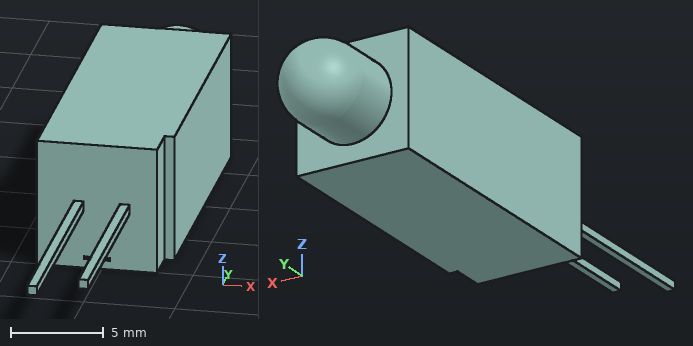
import cadquery as cq

overall_length = 35.6
housing_side = 7.15
housing_length = 17.48

step_depth = 0.55
step_length = 2.03

groove_width = 1.42
groove_height = 0.15
groove_depth = 0.1
groove_z = -3.0

lens_diameter = 5.0
lead_side = 0.55
lead_pitch = 2.53
long_lead_length = 12.7
short_lead_length = 11.25

lens_radius = lens_diameter / 2
lens_length = overall_length - housing_length - long_lead_length
lens_barrel_length = lens_length - lens_radius
half_side = housing_side / 2


def make_housing():
    """Block with its rear face at Y = 0 and a step along the rear +X edge."""
    outline = [
        (-half_side, 0),
        (half_side - step_depth, 0),
        (half_side - step_depth, step_length),
        (half_side, step_length),
        (half_side, housing_length),
        (-half_side, housing_length),
    ]
    return cq.Workplane("XY").polyline(outline).close().extrude(half_side, both=True)


def make_groove():
    """Thin bar that is cut into the rear face below the leads."""
    return (
        cq.Workplane("XZ")
        .center(-step_depth / 2, groove_z)
        .rect(groove_width, groove_height)
        .extrude(-groove_depth)
    )


def make_lens():
    """Round barrel with a hemispherical tip, revolved about the Y axis."""
    barrel_end = housing_length + lens_barrel_length
    tip = barrel_end + lens_radius
    arc_middle = cq.Vector(1, 1, 0).normalized() * lens_radius
    return (
        cq.Workplane("XY")
        .moveTo(0, housing_length)
        .lineTo(lens_radius, housing_length)
        .lineTo(lens_radius, barrel_end)
        .threePointArc((arc_middle.x, barrel_end + arc_middle.y), (0, tip))
        .close()
        .revolve(360, (0, 0, 0), (0, 1, 0))
    )


def make_lead(x, length):
    """Square wire running from the rear face toward -Y."""
    return cq.Workplane("XZ").center(x, 0).rect(lead_side, lead_side).extrude(length)


result = make_housing().cut(make_groove()).union(make_lens())
for lead_x, lead_length in (
    (-lead_pitch / 2, long_lead_length),
    (lead_pitch / 2, short_lead_length),
):
    result = result.union(make_lead(lead_x, lead_length))